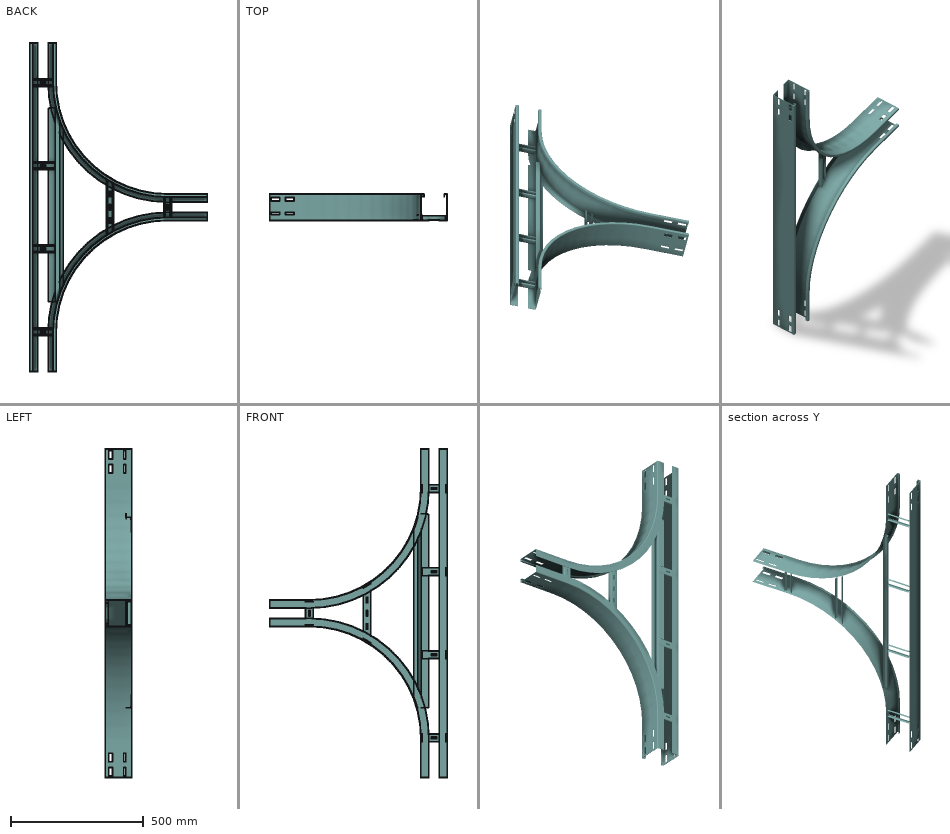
import cadquery as cq
import math

total_length = 1240.0
tray_width = 100.0
tray_height = 100.0
leg_length = 150.0
half_length = total_length / 2
half_width = tray_width / 2
half_height = tray_height / 2
rail_radius = half_length - leg_length - half_width

sheet = 1.5
bend_radius = 2 * sheet

top_flange = 12.0
top_lip = 11.0
bottom_flange = 31.0

slot_length = 31.0
slot_end_distance = 22.0
slot_pitch = 53.0
slots_per_row = 2
upper_slot_width = 12.0
upper_slot_y = 30.0
lower_slot_width = 7.0
lower_slot_y = -24.0

rung_width = 30.0
rung_height = 17.0
rung_lip = 6.0
rung_clearance = 6.0
rung_slot_length = 20.0
rung_slot_width = 5.0
rung_slot_pitch = 50.0
middle_rung_slots = 3
middle_rung_distance = 367.0

stiffener_length = 732.0
stiffener_offset_z = 9.0
stiffener_height = 21.0
stiffener_rim = 16.0
stiffener_crown = 14.0
stiffener_gap = 2.0
stiffener_corner = 7.0

total_width = leg_length + rail_radius + tray_width
x_left = -total_width / 2
x_bend_axis = x_left + leg_length
x_run_rail = x_bend_axis + rail_radius
x_right = x_run_rail + tray_width
z_bend_axis = half_length - leg_length
y_floor = -half_height + sheet
rung_spacing = 2 * z_bend_axis / 3
middle_rung_x = x_left + middle_rung_distance
stiffener_web_x = x_run_rail + stiffener_gap
stiffener_bend_end_x = stiffener_web_x + bend_radius
run_rung_end_x = x_right - rung_clearance


def rounded_outline(workplane, corners):
    """Closed outline through (point, radius) corners, with quarter arcs at the rounded right angles."""
    outline = workplane.moveTo(*corners[0][0].toTuple()[:2])
    for i, (point, radius) in enumerate(corners[1:], start=1):
        if radius == 0:
            outline = outline.lineTo(*point.toTuple()[:2])
            continue
        arriving = (point - corners[i - 1][0]).normalized()
        leaving = (corners[i + 1][0] - point).normalized()
        start = point - arriving * radius
        end = point + leaving * radius
        center = start + leaving * radius
        middle = center + (arriving - leaving) * (radius / math.sqrt(2))
        outline = outline.lineTo(*start.toTuple()[:2])
        outline = outline.threePointArc(middle.toTuple()[:2], end.toTuple()[:2])
    return outline.close()


def bent_sheet(workplane, points):
    """Closed section of a sheet bent at right angles; the sheet lies left of the given points."""
    points = [cq.Vector(*point) for point in points]
    directions = [(b - a).normalized() for a, b in zip(points, points[1:])]
    normals = [cq.Vector(-d.y, d.x) for d in directions]
    right_side = [(points[0], 0)]
    left_side = [(points[0] + normals[0] * sheet, 0)]
    for i in range(1, len(points) - 1):
        left_turn = directions[i - 1].cross(directions[i]).z > 0
        right_radius = bend_radius if left_turn else bend_radius - sheet
        left_radius = bend_radius - sheet if left_turn else bend_radius
        right_side.append((points[i], right_radius))
        left_side.append((points[i] + (normals[i - 1] + normals[i]) * sheet, left_radius))
    right_side.append((points[-1], 0))
    left_side.append((points[-1] + normals[-1] * sheet, 0))
    return rounded_outline(workplane, right_side + left_side[::-1])


def rail_section(workplane):
    """Rail section with the outer web face on x = 0 and the flanges toward +x."""
    return bent_sheet(workplane, [
        (top_flange, half_height - top_lip),
        (top_flange, half_height),
        (0, half_height),
        (0, -half_height),
        (bottom_flange, -half_height),
    ])


def connector_slots(length):
    """Slot cutters through a web on x = 0, for a rail end at z = length."""
    cutters = cq.Workplane("YZ")
    for y, width in ((upper_slot_y, upper_slot_width), (lower_slot_y, lower_slot_width)):
        for i in range(slots_per_row):
            z = length - slot_end_distance - i * slot_pitch
            cutters = cutters.add(
                cq.Workplane("YZ").center(y, z).rect(width, slot_length).extrude(2 * sheet, both=True)
            )
    return cutters.combine()


def rail_leg():
    """Straight rail end from z = 0 up to z = leg_length."""
    return rail_section(cq.Workplane("XY")).extrude(leg_length).cut(connector_slots(leg_length))


def curved_rail():
    """Upper corner rail: run leg, quarter bend and branch leg."""
    run_leg = rail_leg().translate((x_run_rail, 0, z_bend_axis))
    branch_leg = rail_leg().rotate((0, 0, 0), (0, 1, 0), -90).mirror("XY")
    branch_leg = branch_leg.translate((x_bend_axis, 0, half_width))
    bend = (
        rail_section(cq.Workplane("XY"))
        .revolve(90, (-rail_radius, 0, 0), (-rail_radius, 1, 0))
        .translate((x_run_rail, 0, z_bend_axis))
    )
    return run_leg.union(bend, clean=False).union(branch_leg, clean=False)


def straight_rail():
    """Rail along the closed side of the run, slotted at both ends."""
    rail = rail_section(cq.Workplane("XY")).extrude(half_length, both=True)
    slots = connector_slots(half_length)
    rail = rail.cut(slots).cut(slots.mirror("XY"))
    return rail.mirror("YZ").translate((x_right, 0, 0))


def rung(length, slot_count):
    """Channel along Z, centred on the axis, with its slotted face on the tray floor."""
    half = rung_width / 2
    y_top = y_floor + rung_height
    channel = bent_sheet(cq.Workplane("XY"), [
        (-half + rung_lip, y_top),
        (-half, y_top),
        (-half, y_floor),
        (half, y_floor),
        (half, y_top),
        (half - rung_lip, y_top),
    ]).extrude(length / 2, both=True)
    slots = (
        cq.Workplane("XZ", origin=(0, y_floor, 0))
        .rarray(12, rung_slot_pitch, 1, slot_count)
        .rect(rung_slot_width, rung_slot_length)
        .extrude(2 * sheet, both=True)
    )
    return channel.cut(slots)


def run_rung(start_x, z):
    """Rung along X that ends at the straight rail."""
    across = rung(run_rung_end_x - start_x, 1).rotate((0, 0, 0), (0, 1, 0), 90)
    return across.translate(((start_x + run_rung_end_x) / 2, 0, z))


def inside_bends(body, clearance):
    """Trim a body to stay clear of the curved webs of the corner rails."""
    for z in (-z_bend_axis, z_bend_axis):
        web_cylinder = (
            cq.Workplane("XZ", origin=(x_bend_axis, 0, z))
            .circle(rail_radius + clearance)
            .extrude(half_height, both=True)
        )
        body = body.cut(web_cylinder)
    return body


def stiffener():
    """Hat section along Z; its wide flange is notched for the two inner run rungs."""
    y_crown = y_floor + stiffener_height
    flange_edge_x = x_run_rail + bottom_flange
    crown_x = stiffener_web_x - stiffener_crown
    hat = bent_sheet(cq.Workplane("XY"), [
        (crown_x - stiffener_rim, y_floor),
        (crown_x, y_floor),
        (crown_x, y_crown - sheet),
        (stiffener_web_x, y_crown - sheet),
        (stiffener_web_x, y_floor),
        (flange_edge_x, y_floor),
    ]).extrude(stiffener_length / 2, both=True)
    hat = hat.edges("|Y").edges(">X").fillet(stiffener_corner)
    hat = hat.translate((0, 0, stiffener_offset_z))
    for z in (-rung_spacing / 2, rung_spacing / 2):
        notch = cq.Workplane("XY").box(
            bottom_flange, 2 * bend_radius, rung_width, centered=(False, True, True)
        )
        hat = hat.cut(notch.translate((stiffener_bend_end_x, y_floor, z)))
    return inside_bends(hat, bend_radius)


upper_corner_rail = curved_rail()
lower_corner_rail = upper_corner_rail.mirror("XY")
run_rail = straight_rail()
opening_stiffener = stiffener()

outer_rungs = [
    run_rung(x_run_rail + rung_clearance, z) for z in (-z_bend_axis, z_bend_axis)
]
inner_rungs = [
    run_rung(stiffener_bend_end_x, z) for z in (-rung_spacing / 2, rung_spacing / 2)
]
branch_rung = rung(tray_width - 2 * rung_clearance, 1).translate((x_bend_axis, 0, 0))
branch_rung = inside_bends(branch_rung, rung_clearance)
middle_rung = rung(2 * z_bend_axis, middle_rung_slots).translate((middle_rung_x, 0, 0))
middle_rung = inside_bends(middle_rung, rung_clearance)

result = cq.Compound.makeCompound([
    upper_corner_rail.val(),
    lower_corner_rail.val(),
    run_rail.val(),
    opening_stiffener.val(),
    branch_rung.val(),
    middle_rung.val(),
    *[body.val() for body in outer_rungs],
    *[body.val() for body in inner_rungs],
])